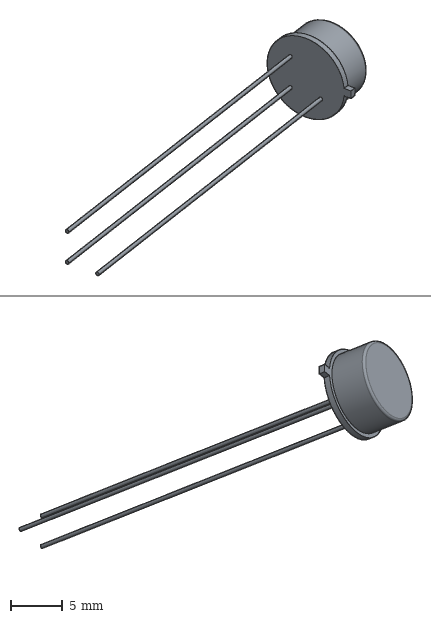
import cadquery as cq
import math


flange_diameter = 9.14
flange_thickness = 0.65
tab_reach = 5.37
tab_width = 0.88

cap_diameter = 8.3
cap_height = 3.85
cap_edge_radius = 0.25

lead_diameter = 0.41
lead_circle_diameter = 5.08
lead_angles = [135, 225, 315]
overall_length = 42.57
lead_length = overall_length - cap_height - flange_thickness


def toward_minus_y(y):
    """Sketch plane at the given Y: local x is X, local y is Z, extrusion goes toward -Y."""
    return cq.Workplane("XZ", origin=(0, y, 0))


def make_lead(angle):
    """One round lead, at the given angle on the lead circle."""
    radius = lead_circle_diameter / 2
    x = radius * math.cos(math.radians(angle))
    z = radius * math.sin(math.radians(angle))
    return toward_minus_y(-flange_thickness).center(x, z).circle(lead_diameter / 2).extrude(lead_length)


def make_header():
    """Round flange with its index tab on +X and the leads, as one solid."""
    flange = toward_minus_y(0).circle(flange_diameter / 2).extrude(flange_thickness)
    tab = (
        toward_minus_y(0)
        .center(tab_reach / 2, 0)
        .rect(tab_reach, tab_width)
        .extrude(flange_thickness)
    )
    header = flange.union(tab)
    for angle in lead_angles:
        header = header.union(make_lead(angle))
    return header


def make_cap():
    """Round cap on the back of the flange, with its far edge rounded."""
    cap = toward_minus_y(0).circle(cap_diameter / 2).extrude(-cap_height)
    return cap.faces(">Y").edges().fillet(cap_edge_radius)


header = make_header()
cap = make_cap()

result = cq.Compound.makeCompound([header.solids().val(), cap.solids().val()])